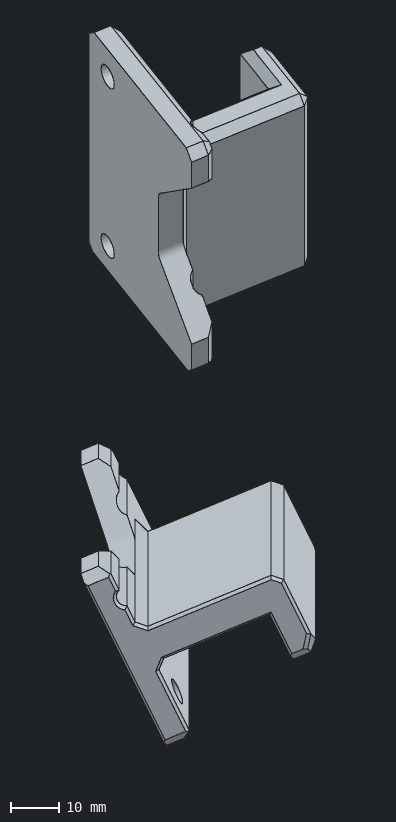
import cadquery as cq

plate_width = 43.0
plate_height = 66.0
plate_thickness = 6.0
corner = 2.25
edge_chamfer = 2.0
bottom_chamfer = 0.65

hole_diameter = 5.5
hole_inset = 8.0

notch_floor_x = 29.1
notch_margin = 9.95
notch_fillet = 3.0

groove_x = 35.0
groove_radius = 2.1
groove_depth = 1.3

depth = 38.0
stem_left = 19.0
stem_right = 27.0
hook_left = 7.0
hook_thickness = 6.0
hook_height = 49.95
hook_underside_y = depth - hook_thickness

flare = 2.0
flare_end_y = plate_thickness + flare


def edges_at(points):
    """Selector for the edges whose midpoints lie nearest the given points."""
    selector = cq.selectors.NearestToPointSelector(points[0])
    for point in points[1:]:
        selector = selector + cq.selectors.NearestToPointSelector(point)
    return selector


def make_plate():
    plate = cq.Workplane("XY").box(plate_width, plate_thickness, plate_height, centered=False)
    plate = plate.edges("|Y").chamfer(corner)
    mid_x = plate_width / 2
    mid_z = plate_height / 2
    broken_edges = edges_at([
        (0, plate_thickness, mid_z),
        (plate_width, plate_thickness, mid_z),
        (mid_x, plate_thickness, plate_height),
        (corner / 2, plate_thickness, plate_height - corner / 2),
        (plate_width - corner / 2, plate_thickness, plate_height - corner / 2),
    ])
    return plate.edges(broken_edges).chamfer(edge_chamfer)


def make_notch():
    notch_depth = plate_width - notch_floor_x
    notch = (
        cq.Workplane("XZ")
        .moveTo(plate_width, notch_margin)
        .lineTo(notch_floor_x, notch_margin + notch_depth)
        .lineTo(notch_floor_x, plate_height - notch_margin - notch_depth)
        .lineTo(plate_width, plate_height - notch_margin)
        .close()
        .extrude(-plate_thickness)
    )
    return notch.faces("<X").edges("|Y").fillet(notch_fillet)


def make_holes():
    return (
        cq.Workplane("XZ")
        .pushPoints([(hole_inset, hole_inset), (hole_inset, plate_height - hole_inset)])
        .circle(hole_diameter / 2)
        .extrude(-plate_thickness)
    )


def make_groove():
    centre_y = plate_thickness + groove_radius - groove_depth
    return cq.Workplane("XY").center(groove_x, centre_y).circle(groove_radius).extrude(plate_height)


def make_hook():
    """L-shaped stem and hook, starting at the end of the flare."""
    hook = (
        cq.Workplane("XY")
        .moveTo(stem_left, flare_end_y)
        .lineTo(stem_right, flare_end_y)
        .lineTo(stem_right, depth)
        .lineTo(hook_left, depth)
        .lineTo(hook_left, hook_underside_y)
        .lineTo(stem_left, hook_underside_y)
        .close()
        .extrude(hook_height)
    )
    hook = hook.faces("<X").edges("|Y").chamfer(corner)
    back_mid_x = (hook_left + stem_right) / 2
    back_edges = edges_at([
        (hook_left, depth, hook_height / 2),
        (stem_right, depth, hook_height / 2),
        (back_mid_x, depth, hook_height),
        (hook_left + corner / 2, depth, corner / 2),
        (hook_left + corner / 2, depth, hook_height - corner / 2),
    ])
    stem_mid_y = (flare_end_y + hook_underside_y) / 2
    top_edges = edges_at([
        (stem_left, stem_mid_y, hook_height),
        (stem_right, (flare_end_y + depth) / 2, hook_height),
        ((hook_left + stem_left) / 2, hook_underside_y, hook_height),
    ])
    return hook.edges(back_edges + top_edges).chamfer(edge_chamfer)


def tetrahedron(points):
    a, b, c, d = [cq.Vector(*point) for point in points]
    triangles = [(a, b, c), (a, b, d), (a, c, d), (b, c, d)]
    faces = [cq.Face.makeFromWires(cq.Wire.makePolygon(list(t), close=True)) for t in triangles]
    return cq.Solid.makeSolid(cq.Shell.makeShell(faces)).fix()


def make_flare():
    """Tapered foot from a wide rectangle on the plate to the chamfered stem section."""
    foot = (
        cq.Workplane("XY")
        .moveTo(stem_left - flare, plate_thickness)
        .lineTo(stem_right + flare, plate_thickness)
        .lineTo(stem_right, flare_end_y)
        .lineTo(stem_left, flare_end_y)
        .close()
        .extrude(hook_height + flare)
    )
    side_profile = (
        cq.Workplane("YZ")
        .moveTo(plate_thickness, 0)
        .lineTo(flare_end_y, 0)
        .lineTo(flare_end_y, hook_height)
        .lineTo(plate_thickness, hook_height + flare)
        .close()
        .extrude(plate_width)
    )
    foot = foot.intersect(side_profile)
    for side_x, outward in [(stem_left, -1), (stem_right, 1)]:
        foot = foot.cut(cq.Workplane(tetrahedron([
            (side_x + outward * flare, plate_thickness, hook_height + flare),
            (side_x, flare_end_y, hook_height),
            (side_x - outward * edge_chamfer, flare_end_y, hook_height),
            (side_x, flare_end_y, hook_height - edge_chamfer),
        ])))
    return foot


plate = make_plate().cut(make_notch()).cut(make_holes()).cut(make_groove())
body = plate.union(make_flare()).union(make_hook())

corner_ends = edges_at([
    (corner, plate_thickness / 2, 0),
    (plate_width - corner, plate_thickness / 2, 0),
    (hook_left + corner, depth - hook_thickness / 2, 0),
])
outline = body.faces("<Z").edges()
sharp_edges = outline.edges(corner_ends).vals()
broken_outline = [edge for edge in outline.vals() if not any(edge.isSame(sharp) for sharp in sharp_edges)]
result = body.newObject(broken_outline).chamfer(bottom_chamfer)